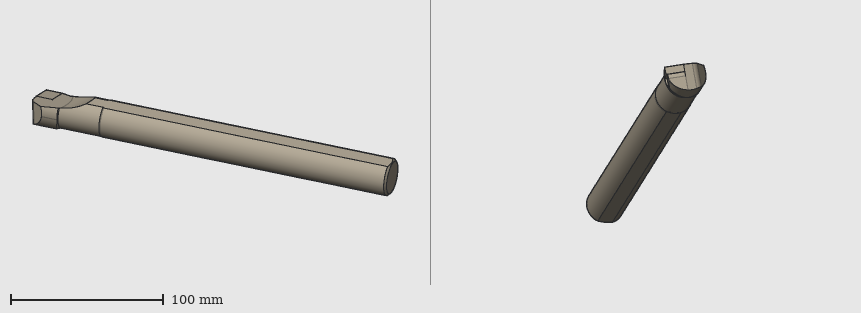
import cadquery as cq
import math

LENGTH = 250
SHANK_R = 12.5
FLAT_HEIGHT = 11.5
SHANK_START = 50
END_CHAMFER = 1.5
FRONT_TAPER = 0.8

NECK_R = 12.3
BULGE_R = 14.5
BULGE_OFFSET = BULGE_R - SHANK_R
TAPER_END = 21.5
TAPER_SLOPE = 0.36

CORNER_X = 2.8
CORNER_Y = 17.0
CORNER_Z = 0.5
SLOPE_X = 0.1
SLOPE_Y = 0.2
RAKE_LENGTH = 22.5
RAKE_SWEEP_R = 30
RAKE_SWEEP_OFFSET = -15.5
RUNOUT_R = 35
RUNOUT_ANGLE = math.radians(60)

INSERT_SIDE = 12.5
INSERT_THICKNESS = 5
INSERT_ANGLE = 11.1

SIDE_INSET = 1.3
NOSE_STRAIGHT = 6.0
NOSE_R = 5
BEVEL_ANGLE = math.radians(50)
SEAT_BEVEL_DEPTH = 0.8
SEAT_BEVEL_HEIGHT = 3.0
REACH = 50

RAKE = cq.Plane(
    origin=(CORNER_X, CORNER_Y, CORNER_Z), xDir=(1, 0, SLOPE_X), normal=(-SLOPE_X, SLOPE_Y, 1)
)
INSERT_PLANE = RAKE.rotated((0, 0, -INSERT_ANGLE))


def bar(radius, start, end, center_y=0):
    """Round bar along X."""
    return cq.Workplane("YZ", origin=(start, center_y, 0)).circle(radius).extrude(end - start)


def slab(start, end, bottom, top):
    """Wide slab between two X and two Z positions."""
    return cq.Workplane("XY").box(
        end - start, 2 * REACH, top - bottom, centered=(False, True, False)
    ).translate((start, 0, bottom))


def revolve_about_x(profile):
    return cq.Workplane("XY").polyline(profile).close().revolve(360, (0, 0, 0), (1, 0, 0))


def make_shank():
    shank = bar(SHANK_R, SHANK_START, LENGTH).faces(">X").chamfer(END_CHAMFER)
    profile = [
        (SHANK_START, 0),
        (SHANK_START, NECK_R),
        (SHANK_START + FRONT_TAPER, SHANK_R),
        (LENGTH, SHANK_R),
        (LENGTH, 0),
    ]
    shank = shank.intersect(revolve_about_x(profile))
    return shank.intersect(slab(SHANK_START, LENGTH, -FLAT_HEIGHT, FLAT_HEIGHT))


def make_bulge():
    """Round core with an off-centre bulge except in its upper -Y quarter, ended by a cone."""
    bulge = bar(BULGE_R, -CORNER_X, TAPER_END, BULGE_OFFSET)
    quarter = cq.Workplane("XY").box(2 * REACH, REACH, REACH, centered=(True, False, False))
    bulge = bulge.cut(quarter.translate((0, BULGE_OFFSET - REACH, 0)))
    start_r = NECK_R + TAPER_SLOPE * (TAPER_END + CORNER_X)
    profile = [(-CORNER_X, 0), (-CORNER_X, start_r), (TAPER_END, NECK_R), (TAPER_END, 0)]
    core = bar(SHANK_R, -CORNER_X, TAPER_END)
    return core.union(bulge).intersect(revolve_about_x(profile))


def make_head_envelope():
    """Prism square to the rake plane, giving the nose, bevel and insert side of the head."""
    angle = math.radians(INSERT_ANGLE)
    along = (math.cos(angle), -math.sin(angle))
    across = (-math.sin(angle), -math.cos(angle))

    def on_insert(u, v):
        return (u * along[0] + v * across[0], u * along[1] + v * across[1])

    nose = on_insert(0, INSERT_SIDE)
    arc_start = (nose[0], nose[1] - NOSE_STRAIGHT)
    arc_end = (
        arc_start[0] + NOSE_R * (1 - math.cos(BEVEL_ANGLE)),
        arc_start[1] - NOSE_R * math.sin(BEVEL_ANGLE),
    )
    bevel_end = (
        arc_end[0] + REACH * math.sin(BEVEL_ANGLE),
        arc_end[1] - REACH * math.cos(BEVEL_ANGLE),
    )
    return (
        cq.Workplane(RAKE)
        .moveTo(*on_insert(0, SIDE_INSET))
        .lineTo(*nose)
        .lineTo(*arc_start)
        .tangentArcPoint(arc_end, relative=False)
        .lineTo(*bevel_end)
        .lineTo(2 * REACH, bevel_end[1])
        .lineTo(2 * REACH, REACH)
        .lineTo(*on_insert(INSERT_SIDE, -REACH))
        .lineTo(*on_insert(INSERT_SIDE, SIDE_INSET))
        .close()
        .extrude(REACH, both=True)
    )


def make_rake_cut():
    """Everything above the rake plane and its concave run-out."""
    sweep_center = RAKE.toWorldCoords((RAKE_LENGTH - RAKE_SWEEP_R, RAKE_SWEEP_OFFSET, 0))
    side_plane = cq.Plane(origin=sweep_center, xDir=RAKE.xDir, normal=-RAKE.yDir)
    arc_end = (
        RAKE_SWEEP_R + RUNOUT_R * math.sin(RUNOUT_ANGLE),
        RUNOUT_R * (1 - math.cos(RUNOUT_ANGLE)),
    )
    return (
        cq.Workplane(side_plane)
        .lineTo(RAKE_SWEEP_R, 0)
        .tangentArcPoint(arc_end, relative=False)
        .lineTo(0, arc_end[1])
        .close()
        .revolve(360, (0, 0, 0), (0, 1, 0))
    )


def make_insert():
    return (
        cq.Workplane(INSERT_PLANE)
        .rect(INSERT_SIDE, -INSERT_SIDE, centered=False)
        .extrude(-INSERT_THICKNESS)
    )


def make_seat_bevel():
    """Wedge cut along the front edge of the insert seat."""
    plane = cq.Plane(origin=RAKE.origin, xDir=INSERT_PLANE.xDir, normal=-INSERT_PLANE.yDir)
    wedge = [
        (0, -INSERT_THICKNESS),
        (SEAT_BEVEL_DEPTH, -INSERT_THICKNESS),
        (0, -INSERT_THICKNESS - SEAT_BEVEL_HEIGHT),
    ]
    return cq.Workplane(plane).polyline(wedge).close().extrude(INSERT_SIDE)


def make_holder(insert):
    neck = bar(NECK_R, -CORNER_X, SHANK_START)
    neck = neck.intersect(slab(-CORNER_X, SHANK_START, -REACH, FLAT_HEIGHT))
    head = neck.union(make_bulge()).intersect(make_head_envelope()).cut(make_rake_cut())
    head = head.cut(insert).cut(make_seat_bevel())
    return head.union(make_shank())


insert = make_insert()
holder = make_holder(insert)
result = cq.Compound.makeCompound([holder.val(), insert.val()])